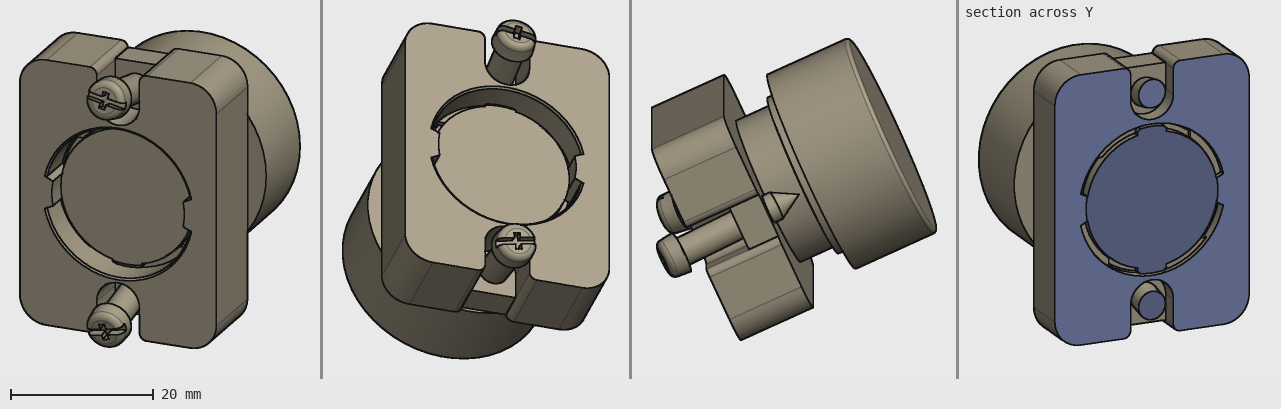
import cadquery as cq
import math


block_width = 29.9
block_height = 40.0
block_depth = 11.12
block_corner_radius = 4.0

notch_width = 6.5
notch_length = 8.1
notch_depth = 6.6
notch_mouth_radius = 1.1
wall_setback = 0.95

pocket_radius = 11.15
pocket_chamfer = 0.3
pocket_depth = 5.62
tab_inner_radius = 10.1
tab_root_half_width = 2.6
tab_tip_half_width = 1.85
lip_inner_radius = 10.15
lip_thickness = 0.8
right_lip_end_x = 6.25
left_lip_end_x = -1.12
left_lip_end_z = 7.03

knob_radius = block_width / 2
knob_length = 12.55
knob_edge_radius = 0.55
neck_radius = 10.9
neck_exposed_length = 6.63
boss_radius = 10.1
boss_recess = 3.2
key_width = 4.5
key_chamfer = 0.6

seal_radius = 12.0
seal_thickness = 1.33

screw_tilt = 11.2
shank_radius = 2.1
shank_above_seat = 9.08
shank_below_seat = 5.8
tip_length = 3.6
head_radius = 3.0
head_height = 2.8
head_draft = 4.7
head_edge_radius = 0.95
slot_width = 0.95
slot_depth = 1.33
slot_turn = 11.0
cross_width = 0.9
cross_length = 2.4

knob_base_y = block_depth + neck_exposed_length
lip_front_y = pocket_depth - lip_thickness
notch_end_radius = notch_width / 2
notch_center_z = block_height / 2 - notch_length + notch_end_radius


def disc(radius, front_y, back_y):
    """Cylinder about the Y axis between two Y positions."""
    return cq.Workplane("XZ", origin=(0, front_y, 0)).circle(radius).extrude(front_y - back_y)


def box(width, front_y, back_y, bottom_z, top_z):
    """Box centred on x = 0."""
    size = (width, back_y - front_y, top_z - bottom_z)
    return cq.Workplane("XY", origin=(0, front_y, bottom_z)).box(*size, centered=(True, False, False))


def pocket_tab():
    """Tab on the +X side that narrows toward the pocket centre, ending in an arc."""
    tip_x = math.sqrt(tab_inner_radius**2 - tab_tip_half_width**2)
    root_x = pocket_radius + pocket_chamfer
    root_half_width = tab_root_half_width
    return (
        cq.Workplane("XZ")
        .moveTo(root_x, -root_half_width)
        .lineTo(tip_x, -tab_tip_half_width)
        .threePointArc((tab_inner_radius, 0), (tip_x, tab_tip_half_width))
        .lineTo(root_x, root_half_width)
        .close()
        .extrude(-pocket_depth)
    )


def retaining_lips():
    """Two parts of the lip ring at the bottom of the pocket, with ends cut square to X and Z."""
    ring = disc(pocket_radius, lip_front_y, pocket_depth)
    ring = ring.cut(disc(lip_inner_radius, lip_front_y, pocket_depth))
    right_zone = (
        cq.Workplane("XY", origin=(right_lip_end_x, lip_front_y, 0))
        .box(pocket_radius, lip_thickness, pocket_radius, centered=False)
    )
    left_zone = (
        cq.Workplane("XY", origin=(left_lip_end_x - pocket_radius, lip_front_y, left_lip_end_z))
        .box(pocket_radius, lip_thickness, pocket_radius, centered=False)
    )
    return ring.intersect(right_zone.union(left_zone))


def bayonet_pocket():
    """Space removed from the block for the actuator, leaving the tabs and lips."""
    rim_radius = pocket_radius + pocket_chamfer
    space = (
        cq.Workplane("XY")
        .polyline([(0, 0), (rim_radius, 0), (pocket_radius, pocket_chamfer),
                   (pocket_radius, pocket_depth), (0, pocket_depth)])
        .close()
        .revolve(360, (0, 0, 0), (0, 1, 0))
    )
    for half_turn in (0, 180):
        stops = pocket_tab().union(retaining_lips())
        space = space.cut(stops.rotate((0, 0, 0), (0, 1, 0), half_turn))
    return space.union(disc(neck_radius, pocket_depth, block_depth))


def screw_notch():
    """Round-ended notch in the top edge, with the lowered wall behind it."""
    top_z = block_height / 2
    slot = box(notch_width, 0, notch_depth, notch_center_z, top_z)
    slot = slot.union(disc(notch_end_radius, 0, notch_depth).translate((0, 0, notch_center_z)))
    return slot.union(box(notch_width, notch_depth, block_depth, top_z - wall_setback, top_z))


def notch_mouth_rounding(side):
    """Sliver that rounds one corner of the notch mouth; side is +1 or -1 along X."""
    edge_x = side * notch_width / 2
    top_z = block_height / 2
    arc_middle = notch_mouth_radius * (1 - math.sqrt(0.5))
    return (
        cq.Workplane("XZ")
        .moveTo(edge_x, top_z)
        .lineTo(edge_x, top_z - notch_mouth_radius)
        .threePointArc(
            (edge_x + side * arc_middle, top_z - arc_middle),
            (edge_x + side * notch_mouth_radius, top_z),
        )
        .close()
        .extrude(-block_depth)
    )


def make_screw(is_lower):
    """Upper or lower screw: pan head with slot and cross recess, shank and conical tip."""
    shank_length = shank_above_seat + shank_below_seat
    top_radius = head_radius - head_height * math.tan(math.radians(head_draft))
    head = (
        cq.Workplane("XZ")
        .polyline([(0, 0), (head_radius, 0), (top_radius, -head_height), (0, -head_height)])
        .close()
        .revolve(360, (0, 0, 0), (0, 1, 0))
        .faces("<Z").edges().fillet(head_edge_radius)
    )
    shank = (
        cq.Workplane("XZ")
        .polyline([(0, 0), (shank_radius, 0), (shank_radius, shank_length),
                   (0, shank_length + tip_length)])
        .close()
        .revolve(360, (0, 0, 0), (0, 1, 0))
    )
    recess_base = cq.Workplane("XY", origin=(0, 0, -head_height))
    recess = recess_base.rect(2 * head_radius, slot_width).extrude(slot_depth)
    recess = recess.union(recess_base.rect(cross_width, cross_length).extrude(slot_depth))
    recess = recess.rotate((0, 0, 0), (0, 0, 1), slot_turn)
    upper_screw = (
        head.union(shank).cut(recess)
        .translate((0, 0, -shank_above_seat))
        .rotate((0, 0, 0), (1, 0, 0), -(90 + screw_tilt))
        .translate((0, notch_depth, notch_center_z))
    )
    return upper_screw.mirror("XY") if is_lower else upper_screw


def make_housing(screws):
    """Block with the notches, the bayonet pocket and the screw holes."""
    body = box(block_width, 0, block_depth, -block_height / 2, block_height / 2)
    body = body.edges("|Y").fillet(block_corner_radius)
    notch = screw_notch()
    for side in (1, -1):
        notch = notch.union(notch_mouth_rounding(side))
    body = body.cut(notch).cut(notch.mirror("XY"))
    body = body.cut(bayonet_pocket())
    for screw in screws:
        body = body.cut(screw)
    return body


def boss_key():
    """Key on top of the boss, with a conical outer edge and bevelled outer corners."""
    bevel_start_z = neck_radius - key_chamfer
    half_width = key_width / 2
    outline = (
        cq.Workplane("XZ", origin=(0, boss_recess, 0))
        .polyline([
            (-half_width, 0),
            (-half_width, bevel_start_z),
            (-half_width + key_chamfer, neck_radius),
            (half_width - key_chamfer, neck_radius),
            (half_width, bevel_start_z),
            (half_width, 0),
        ])
        .close()
        .extrude(boss_recess - lip_front_y)
    )
    cone_edged_disc = disc(neck_radius, boss_recess, lip_front_y).faces("<Y").chamfer(key_chamfer)
    return outline.intersect(cone_edged_disc)


def make_actuator():
    """Knob, neck, and boss with a key at the top and bottom."""
    knob = disc(knob_radius, knob_base_y, knob_base_y + knob_length)
    knob = knob.faces(">Y").edges().fillet(knob_edge_radius)
    neck = disc(neck_radius, pocket_depth, knob_base_y)
    boss = disc(boss_radius, boss_recess, pocket_depth)
    key = boss_key()
    return knob.union(neck).union(boss).union(key).union(key.mirror("XY"))


def make_seal():
    """Ring around the neck against the knob."""
    front_y = knob_base_y - seal_thickness
    return disc(seal_radius, front_y, knob_base_y).cut(disc(neck_radius, front_y, knob_base_y))


screws = []
for is_lower in (False, True):
    screws.append(make_screw(is_lower))
housing = make_housing(screws)
actuator = make_actuator()
seal = make_seal()

result = cq.Compound.makeCompound(
    [housing.val(), actuator.val(), seal.val(), *[screw.val() for screw in screws]]
)